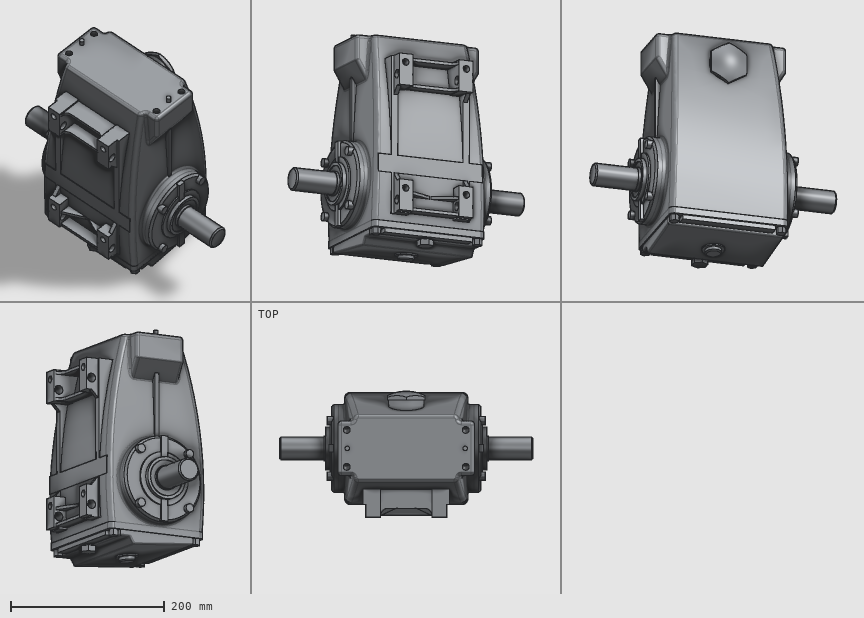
import cadquery as cq
import math


top_z = 195.0
rim_top_z = -60.7
rim_bottom_z = -69.5
corner_radius = 6.5
top_edge_radius = 5.0

half_depth_bottom = 70.0
half_depth_middle = 73.0
half_depth_top = 43.2
depth_middle_z = 4.0
half_width_bottom = 81.0
half_width_middle = 77.5
half_width_top = 68.5
width_middle_z = 66.0
rim_half_depth = 70.5

ear_half_width = 89.0
ear_half_depth = 35.5
ear_bottom_z = 160.7
ear_root_x = 72.5
ear_root_z = 133.3
ear_bend_radius = 2.5
ear_corner_radius = 4.5
ear_root_radius = 3.3
ear_root_reach = 76.0
top_hole_x = 77.5
top_hole_y = 24.0
top_hole_diameter = 9.0
top_hole_depth = 13.2
top_pin_x = 77.0
pin_diameter = 6.0
pin_height = 6.5
drill_tip_angle = 118

shaft_radius = 15.0
shaft_half_length = 165.0
shaft_chamfer = 2.0
collar_radius = 16.2
collar_end_x = 107.2
bearing_boss_radius = 57.5
boss_root_radius = 3.0
boss_end_x = 88.0
cap_face_x = 97.5
cap_chamfer = 3.0
cap_step_radius = 35.5
cap_step_x = 99.5
cap_rib_x = 101.0
cap_rib_width = 10.0
cap_rib_reach = 56.8
hub_radius = 28.0
hub_face_x = 105.3
seal_radius = 23.8
seal_depth = 1.5
cap_bolt_circle_radius = 51.0
cap_bolt_diameter = 11.2
cap_bolt_end_x = 103.3
side_rib_width = 5.5
side_rib_x = 80.0
side_rib_top_z = 144.5

pad_y = -73.2
foot_y = -90.0
foot_half_span = 53.0
foot_inner_x = 33.3
pad_half_span = 56.5
strip_inner_x = 47.2
band_half_span = 75.2
band_top_z = 28.0
band_bottom_z = 4.0
upper_foot_top_z = 161.0
upper_foot_bottom_z = 119.0
lower_foot_top_z = -8.0
lower_foot_bottom_z = -49.0
lower_pad_bottom_z = -50.8
wedge_y = -82.8
wedge_height = 10.0
mount_hole_x = 44.0
mount_hole_inset = 11.2
mount_hole_diameter = 9.0
mount_hole_depth = 13.2
side_hole_diameter = 11.5
side_hole_y = -82.8
side_hole_drop = 26.5
web_thickness = 4.0
upper_web_top_z = 159.0
web_foot_gap = 1.0
vee_web_bottom_z = -26.0
vee_web_root_y = -72.0
web_y = -87.5
web_waist_y = -78.2

cover_half_width = 79.2
cover_inner_half_width = 63.5
cover_half_depth = 67.5
cover_back_y = 54.0
cover_front_y = -54.5
cover_plate_z = -78.0
tongue_bottom_z = -75.5
sump_back_z = -79.2
sump_front_y = -40.3
sump_toe_y = -34.3
sump_bottom_z = -87.5
sump_edge_radius = 2.0
cover_bolt_x = 73.2
cover_bolt_y = 61.5
cover_bolt_hex = 13.0
cover_bolt_z = -78.0

front_plug_y = -57.5
front_plug_neck_diameter = 13.0
front_plug_hex = 21.5
front_plug_hex_top_z = -78.0
front_plug_bottom_z = -85.8
drain_washer_radius = 15.2
drain_washer_height = 2.0
drain_plug_radius = 11.0
drain_plug_length = 8.0
drain_plug_chamfer = 1.5

filler_z = 151.0
filler_neck_radius = 23.0
filler_hex = 56.0
filler_hex_y = 63.0
filler_rim_y = 69.0
filler_dome_y = 75.0

inside_y = 33.0


def box(x0, x1, y0, y1, z0, z1):
    size = (x1 - x0, y1 - y0, z1 - z0)
    return cq.Workplane("XY").box(*size, centered=False).translate((x0, y0, z0))


def z_cylinder(diameter, x, y, z0, z1):
    return cq.Workplane("XY", origin=(x, y, z0)).circle(diameter / 2).extrude(z1 - z0)


def z_hexagon(corner_diameter, x, y, z0, z1):
    """Hexagonal prism with two corners pointing along Y."""
    hexagon = cq.Workplane("XY").polygon(6, corner_diameter).extrude(z1 - z0)
    return hexagon.rotate((0, 0, 0), (0, 0, 1), 90).translate((x, y, z0))


def both_sides(shape):
    return shape.union(shape.mirror("YZ"))


def drilled_hole(diameter, depth, mouth, direction):
    """Blind hole with a conical drill tip below its full-diameter depth."""
    start = cq.Vector(*mouth)
    along = cq.Vector(*direction)
    radius = diameter / 2
    tip_length = radius / math.tan(math.radians(drill_tip_angle / 2))
    bore = cq.Solid.makeCylinder(radius, depth, start, along)
    tip = cq.Solid.makeCone(radius, 0, tip_length, start + along * depth, along)
    return cq.Workplane(bore).union(cq.Workplane(tip))


def tapered_outline(plane, bottom, middle, middle_z, top):
    return (
        cq.Workplane(plane)
        .moveTo(-bottom, rim_top_z)
        .lineTo(bottom, rim_top_z)
        .threePointArc((middle, middle_z), (top, top_z))
        .lineTo(-top, top_z)
        .threePointArc((-middle, middle_z), (-bottom, rim_top_z))
        .close()
    )


def make_ears():
    """Head block reaching past both side walls, tapering back into them underneath."""
    ears = (
        cq.Workplane("XZ")
        .polyline([
            (-ear_half_width, top_z),
            (-ear_half_width, ear_bottom_z),
            (-ear_root_x, ear_root_z),
            (ear_root_x, ear_root_z),
            (ear_half_width, ear_bottom_z),
            (ear_half_width, top_z),
        ])
        .close()
        .extrude(ear_half_depth, both=True)
    )
    bends = cq.selectors.BoxSelector(
        (-ear_half_width - 3.3, -3.3, ear_bottom_z - 3.3),
        (ear_half_width + 3.3, 3.3, ear_bottom_z + 3.3),
    )
    ears = ears.edges(bends).fillet(ear_bend_radius)
    return ears.edges("|Z").fillet(ear_corner_radius)


def make_shell():
    """Housing body: the depth and width outlines crossed, with rounded upright corners."""
    depth = tapered_outline("YZ", half_depth_bottom, half_depth_middle, depth_middle_z, half_depth_top)
    width = tapered_outline("XZ", half_width_bottom, half_width_middle, width_middle_z, half_width_top)
    shell = depth.extrude(ear_half_width, both=True)
    shell = shell.intersect(width.extrude(ear_half_width, both=True))
    upright_edges = cq.selectors.BoxSelector(
        (-half_width_bottom, -half_depth_middle, rim_top_z + 3.3),
        (half_width_bottom, half_depth_middle, top_z - 3.3),
    )
    return shell.edges(upright_edges).fillet(corner_radius)


def make_housing():
    body = make_shell().union(make_ears())
    ear_roots = cq.selectors.BoxSelector(
        (-ear_root_reach, -ear_half_depth - 3.3, ear_root_z + 3.3),
        (ear_root_reach, ear_half_depth + 3.3, top_z - 3.3),
    )
    body = body.edges(ear_roots).fillet(ear_root_radius)
    body = body.faces(">Z").edges().fillet(top_edge_radius)

    bosses = cq.Workplane("YZ").circle(bearing_boss_radius).extrude(boss_end_x, both=True)
    boss_roots = cq.selectors.BoxSelector((-half_width_bottom, -3.3, -3.3), (half_width_bottom, 3.3, 3.3))
    body = body.union(bosses).edges(boss_roots).fillet(boss_root_radius)

    rim = box(-half_width_bottom, half_width_bottom, -rim_half_depth, rim_half_depth, rim_bottom_z, rim_top_z)
    return body.union(rim.edges("|Z").fillet(corner_radius))


def make_head_pins():
    pin = z_cylinder(pin_diameter, top_pin_x, 0, rim_top_z, top_z + pin_height)
    return both_sides(pin)


def make_head_holes():
    mouth = (top_hole_x, top_hole_y, top_z)
    hole = drilled_hole(top_hole_diameter, top_hole_depth, mouth, (0, 0, -1))
    holes = both_sides(hole)
    return holes.union(holes.mirror("XZ"))


def make_bearing_end():
    """Boss, cap, hub and shaft on the +X side as one turned body with its added details."""
    end = (
        cq.Workplane("XY")
        .polyline([
            (0, 0),
            (0, bearing_boss_radius),
            (cap_face_x - cap_chamfer, bearing_boss_radius),
            (cap_face_x, bearing_boss_radius - cap_chamfer),
            (cap_face_x, cap_step_radius),
            (cap_step_x, cap_step_radius),
            (cap_step_x, hub_radius),
            (hub_face_x, hub_radius),
            (hub_face_x, seal_radius),
            (hub_face_x - seal_depth, seal_radius),
            (hub_face_x - seal_depth, collar_radius),
            (collar_end_x, collar_radius),
            (collar_end_x, shaft_radius),
            (shaft_half_length - shaft_chamfer, shaft_radius),
            (shaft_half_length, shaft_radius - shaft_chamfer),
            (shaft_half_length, 0),
        ])
        .close()
        .revolve(360, (0, 0, 0), (1, 0, 0))
    )
    cap_rib = box(boss_end_x, cap_rib_x, -cap_rib_width / 2, cap_rib_width / 2, -cap_rib_reach, cap_rib_reach)
    bolts = (
        cq.Workplane("YZ", origin=(boss_end_x, 0, 0))
        .polarArray(cap_bolt_circle_radius, 45, 360, 4)
        .circle(cap_bolt_diameter / 2)
        .extrude(cap_bolt_end_x - boss_end_x)
    )
    side_rib = box(0, side_rib_x, -side_rib_width / 2, side_rib_width / 2, 0, side_rib_top_z)
    return end.union(cap_rib).union(bolts).union(side_rib)


def make_foot(top, bottom, pad_bottom, wedge_base, wedge_tip):
    """One foot on the +X half, with the thin gusset that braces it against the housing strip."""
    foot = box(foot_inner_x, foot_half_span, foot_y, -inside_y, bottom, top)
    pad = box(foot_inner_x, pad_half_span, pad_y, -inside_y, pad_bottom, top)
    heel = box(foot_inner_x, foot_half_span, wedge_y, -inside_y, pad_bottom, top)
    wedge = (
        cq.Workplane("YZ", origin=(strip_inner_x, 0, 0))
        .polyline([
            (-inside_y, wedge_base),
            (wedge_y, wedge_base),
            (pad_y, wedge_tip),
            (-inside_y, wedge_tip),
        ])
        .close()
        .extrude(foot_half_span - strip_inner_x)
    )
    return foot.union(pad).union(heel).union(wedge)


def make_web(bottom, outline):
    """Horizontal web between two feet; the outline gives its free edge on the +X half."""
    half = outline.lineTo(0, -inside_y).lineTo(foot_inner_x, -inside_y).close().extrude(web_thickness)
    return half.translate((0, 0, bottom))


def web_edge():
    return cq.Workplane("XY").moveTo(foot_inner_x, web_y)


def make_mounting():
    strip = box(strip_inner_x, pad_half_span, pad_y, -inside_y, lower_pad_bottom_z, upper_foot_top_z)
    band = box(0, band_half_span, pad_y, -inside_y, band_bottom_z, band_top_z)
    upper_foot = make_foot(
        upper_foot_top_z, upper_foot_bottom_z, upper_foot_bottom_z,
        upper_foot_bottom_z, upper_foot_bottom_z - wedge_height,
    )
    lower_foot = make_foot(
        lower_foot_top_z, lower_foot_bottom_z, lower_pad_bottom_z,
        lower_foot_top_z, band_bottom_z,
    )
    half = strip.union(band).union(upper_foot).union(lower_foot)

    waist_radius = web_waist_y - web_y
    bend = waist_radius * math.sqrt(0.5)
    for bottom in (upper_web_top_z - web_thickness, upper_foot_bottom_z + web_foot_gap):
        waisted = (
            web_edge()
            .threePointArc(
                (foot_inner_x - waist_radius + bend, web_y + bend),
                (foot_inner_x - waist_radius, web_waist_y),
            )
            .lineTo(0, web_waist_y)
        )
        half = half.union(make_web(bottom, waisted))
    half = half.union(make_web(vee_web_bottom_z, web_edge().lineTo(0, vee_web_root_y)))
    half = half.union(make_web(lower_foot_bottom_z + web_foot_gap, web_edge().lineTo(0, web_y)))
    return both_sides(half)


def make_mounting_holes():
    holes = cq.Workplane("XY")
    for top in (upper_foot_top_z, lower_foot_top_z):
        mouth = (mount_hole_x, foot_y, top - mount_hole_inset)
        front_hole = drilled_hole(mount_hole_diameter, mount_hole_depth, mouth, (0, 1, 0))
        side_hole = (
            cq.Workplane("YZ", origin=(0, side_hole_y, top - side_hole_drop))
            .circle(side_hole_diameter / 2)
            .extrude(foot_half_span)
        )
        holes = holes.union(front_hole).union(side_hole)
    return both_sides(holes)


def make_sump_cover():
    sump = (
        cq.Workplane("YZ")
        .polyline([
            (cover_back_y, rim_bottom_z),
            (cover_back_y, sump_back_z),
            (sump_toe_y, sump_bottom_z),
            (sump_front_y, cover_plate_z),
            (cover_front_y, cover_plate_z),
            (cover_front_y, rim_bottom_z),
        ])
        .close()
        .extrude(cover_half_width, both=True)
    )
    lower_edges = cq.selectors.BoxSelector(
        (-cover_half_width - 3.3, cover_front_y - 3.3, sump_bottom_z - 3.3),
        (cover_half_width + 3.3, cover_back_y + 3.3, cover_plate_z + 1.5),
    )
    sump = sump.edges(lower_edges).fillet(sump_edge_radius)
    tongue = box(
        -cover_inner_half_width, cover_inner_half_width,
        -cover_half_depth, cover_half_depth, tongue_bottom_z, rim_bottom_z,
    )
    return sump.union(tongue)


def make_cover_bolts():
    bolt = z_hexagon(cover_bolt_hex, cover_bolt_x, cover_bolt_y, cover_bolt_z, rim_bottom_z)
    bolts = both_sides(bolt)
    return bolts.union(bolts.mirror("XZ"))


def make_front_plug():
    neck = z_cylinder(front_plug_neck_diameter, 0, front_plug_y, front_plug_hex_top_z, rim_bottom_z)
    head = z_hexagon(front_plug_hex, 0, front_plug_y, front_plug_bottom_z, front_plug_hex_top_z)
    return neck.union(head)


def make_drain_plug():
    """Washer and plug set square to the sloping sump floor."""
    slope = math.degrees(math.atan2(sump_back_z - sump_bottom_z, cover_back_y - sump_toe_y))
    floor_share = cover_back_y / (cover_back_y - sump_toe_y)
    floor_z = sump_back_z + (sump_bottom_z - sump_back_z) * floor_share
    washer = cq.Workplane("XY").circle(drain_washer_radius).extrude(-drain_washer_height)
    plug = (
        cq.Workplane("XY")
        .circle(drain_plug_radius)
        .extrude(-drain_plug_length)
        .faces("<Z").edges().chamfer(drain_plug_chamfer)
    )
    return washer.union(plug).rotate((0, 0, 0), (1, 0, 0), slope).translate((0, 0, floor_z))


def make_filler_cap():
    neck = (
        cq.Workplane("XZ", origin=(0, 0, filler_z))
        .circle(filler_neck_radius)
        .extrude(-filler_hex_y)
    )
    head = (
        cq.Workplane("XZ", origin=(0, filler_hex_y, filler_z))
        .polygon(6, filler_hex)
        .extrude(filler_hex_y - filler_dome_y)
        .rotate((0, 0, filler_z), (0, 1, filler_z), 30)
    )
    rise = filler_dome_y - filler_rim_y
    rim_radius = filler_hex / 2 * math.cos(math.radians(30))
    dome_radius = (rim_radius**2 + rise**2) / (2 * rise)
    dome = cq.Workplane("XY").sphere(dome_radius).translate((0, filler_dome_y - dome_radius, filler_z))
    return neck.union(head.intersect(dome))


result = (
    make_housing()
    .union(make_head_pins())
    .cut(make_head_holes())
    .union(both_sides(make_bearing_end()))
    .union(make_mounting())
    .cut(make_mounting_holes())
    .union(make_sump_cover())
    .union(make_cover_bolts())
    .union(make_front_plug())
    .union(make_drain_plug())
    .union(make_filler_cap())
)